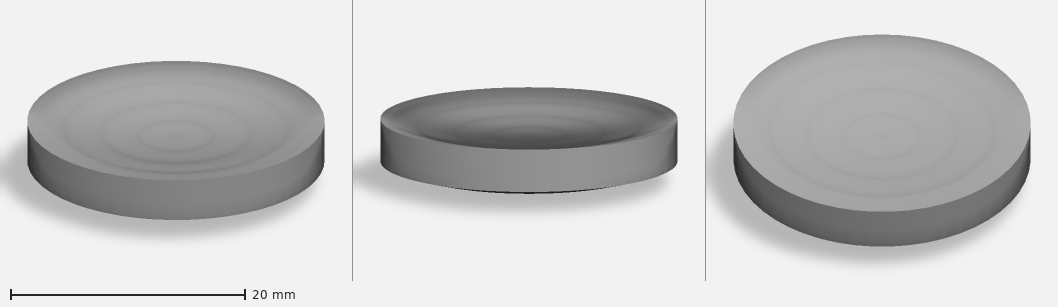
import cadquery as cq

diameter = 25.4
overall_height = 5.61
edge_thickness = 3.7
top_sag = 1.55

radius = diameter / 2
bottom_sag = overall_height - edge_thickness


def sphere_radius(sag):
    """Radius of the sphere whose cap spans the lens diameter with this sag."""
    return (radius**2 + sag**2) / (2 * sag)


def lens_blank():
    """Cylinder as tall as the whole lens, with its top at the upper rim."""
    return cq.Workplane("XY").circle(radius).extrude(-overall_height)


def sphere_above(sag, cap_bottom):
    """Sphere for the given sag whose lowest point is at height cap_bottom."""
    ball_radius = sphere_radius(sag)
    return cq.Workplane("XY").sphere(ball_radius).translate((0, 0, cap_bottom + ball_radius))


convex_face = sphere_above(bottom_sag, -overall_height)
concave_face = sphere_above(top_sag, -top_sag)

result = lens_blank().intersect(convex_face).cut(concave_face)